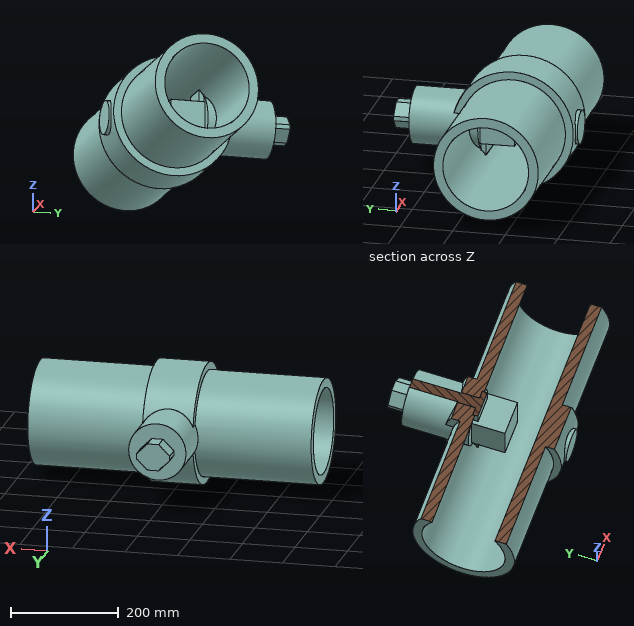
import cadquery as cq

PIPE_LENGTH = 540.0
PIPE_RADIUS = 100.0
BORE_RADIUS = 81.5
COLLAR_RADIUS = 115.0
COLLAR_WIDTH = 96.0

STEM_RADIUS = 54.5
STEM_INNER_Y = 65.5
STEM_OUTER_Y = 196.5
HEAD_OUTER_Y = 231.0
HEAD_WIDTH = 63.5
HEAD_HEIGHT = 51.0
HEAD_CHAMFER = 21.0
BLADE_SIDE = 70.0
BLADE_TIP_Y = 0.0
PLATE_THICKNESS = 9.5
PLATE_HEIGHT = 119.0
PLATE_WIDTH = 54.0

PLUG_RADIUS = HEAD_WIDTH / 2
PLUG_OUTER_Y = -119.0
PLUG_SEAT_Y = -PIPE_RADIUS


def cylinder_x(radius, length):
    """Cylinder along X, centred on the origin."""
    return cq.Workplane("YZ").circle(radius).extrude(length / 2, both=True)


def cylinder_y(radius, start_y, end_y):
    """Cylinder along Y between two Y positions."""
    plane = cq.Workplane(cq.Plane(origin=(0, start_y, 0), xDir=(1, 0, 0), normal=(0, 1, 0)))
    return plane.circle(radius).extrude(end_y - start_y)


def block_y(width, height, start_y, end_y):
    """Block centred in X and Z between two Y positions."""
    block = cq.Workplane("XY").box(width, end_y - start_y, height)
    return block.translate((0, (start_y + end_y) / 2, 0))


def make_insert():
    """Stem with its eight-sided head, its cross plate and its square blade."""
    stem = cylinder_y(STEM_RADIUS, STEM_INNER_Y, STEM_OUTER_Y)
    head = block_y(HEAD_WIDTH, HEAD_HEIGHT, STEM_OUTER_Y, HEAD_OUTER_Y)
    head = head.edges("|Y").chamfer(HEAD_CHAMFER)
    plate = block_y(PLATE_WIDTH, PLATE_HEIGHT, STEM_INNER_Y - PLATE_THICKNESS, STEM_INNER_Y)
    blade = block_y(BLADE_SIDE, BLADE_SIDE, BLADE_TIP_Y, STEM_INNER_Y)
    return stem.union(head).union(plate).union(blade)


def make_plug():
    """Disc seated in the collar and standing slightly proud of it."""
    return cylinder_y(PLUG_RADIUS, PLUG_OUTER_Y, PLUG_SEAT_Y)


def make_housing(insert, plug):
    """Bored pipe and collar with matching openings for the insert and the plug."""
    pipe = cylinder_x(PIPE_RADIUS, PIPE_LENGTH)
    collar = cylinder_x(COLLAR_RADIUS, COLLAR_WIDTH)
    bore = cylinder_x(BORE_RADIUS, PIPE_LENGTH)
    return pipe.union(collar).cut(bore).cut(insert).cut(plug)


insert = make_insert()
plug = make_plug()
housing = make_housing(insert, plug)

result = cq.Compound.makeCompound([housing.val(), insert.val(), plug.val()])